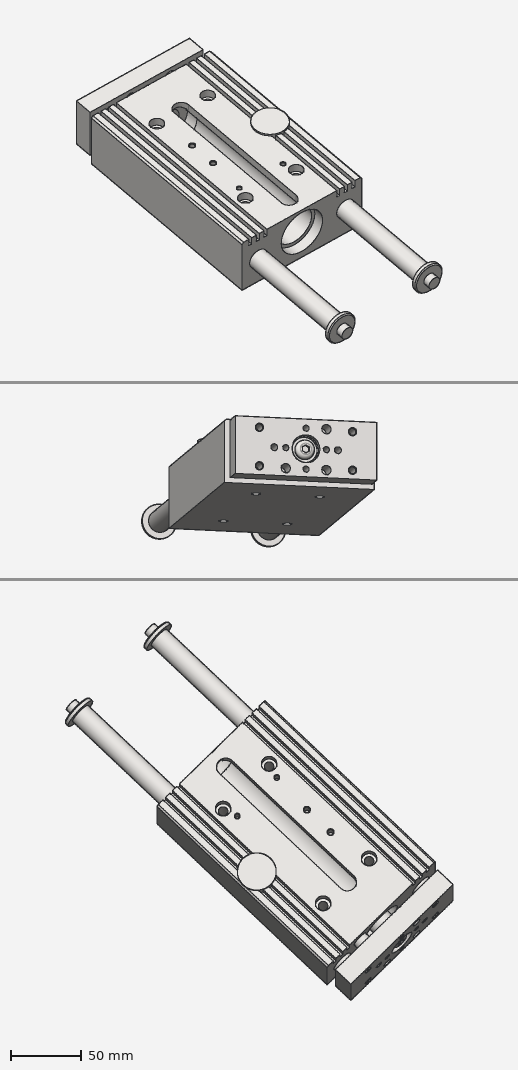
import cadquery as cq
import math

overall_length = 291.5

housing_start = 20.7
housing_length = 170.2
housing_width = 110.0
housing_height = 46.0
top_edge_chamfer = 1.5
housing_end = housing_start + housing_length
housing_mid_x = housing_start + housing_length / 2
axis_z = housing_height / 2

groove_width = 2.5
groove_depth = 6.0
groove_pitch = 7.0
groove_count = 3
inner_groove_y = 33.38

cap_diameter = 27.7
cap_height = 1.5

bore_z = 24.8
bore_diameter = 32.0
bore_start = 40.8
front_seat_diameter = 34.0
front_seat_end = 52.5
rear_seat_diameter = 38.0
rear_seat_start = 182.2
slot_start = 48.0
slot_length = 134.7
slot_width = 13.0

gland_diameter = 32.6
gland_depth = 5.8

mount_spacing_x = 100.0
mount_spacing_y = 46.5
mount_hole_diameter = 6.7
mount_counterbore_diameter = 11.0
mount_counterbore_depth = 6.7

blind_hole_depth = 8.7
blind_step_depth = 1.0
drill_tip_angle = 118.0
side_hole_diameter = 4.0
side_step_diameter = 5.0
side_hole_places = [(89.2, -18.0), (112.8, -18.0)]
end_hole_diameter = 3.5
end_step_diameter = 4.0
end_hole_places = [(145.0, 20.0), (145.0, -20.0)]

plate_thickness = 15.5
plate_width = 103.8
plate_height = 42.0
plate_bottom = 2.5

corner_hole_diameter = 5.0
corner_step_diameter = 5.8
corner_step_depth = 1.0
corner_spacing_y = 68.2
corner_spacing_z = 28.0
cross_hole_diameter = 4.5
cross_hole_offset = 15.0
outer_hole_diameter = 5.0
outer_hole_y = 23.3
dowel_hole_diameter = 6.7

recess_diameter = 20.0
recess_depth = 4.5
recess_floor_diameter = 18.5
recess_floor_depth = 5.2
head_diameter = 14.0
head_height = 4.7
head_rounding = 3.0
socket_size = 5.8
socket_depth = 2.3

rod_diameter = 16.0
rod_y = 40.0
rod_z_offset = 1.0
rod_axes = [(rod_y, axis_z + rod_z_offset), (-rod_y, axis_z - rod_z_offset)]
collar_start = 282.2
collar_thickness = 3.5
collar_diameter = 25.0
collar_chamfer = 1.0
tip_diameter = 10.0

piston_rod_diameter = 18.5
pin_diameter = 12.0
pin_y = 21.5
pin_z = 35.3
pin_end = 35.0


def x_cylinder(diameter, x_start, x_end, y, z):
    """Cylinder along X."""
    start = cq.Vector(x_start, y, z)
    solid = cq.Solid.makeCylinder(diameter / 2, x_end - x_start, start, cq.Vector(1, 0, 0))
    return cq.Workplane(solid)


def x_block(x_start, x_end, width, height, bottom):
    """Box centred on Y = 0."""
    plane = cq.Workplane("XY", origin=((x_start + x_end) / 2, 0, bottom))
    return plane.box(x_end - x_start, width, height, centered=(True, True, False))


def housing_top():
    """Workplane on the housing's top face, above the origin."""
    return cq.Workplane("XY", origin=(0, 0, housing_height))


def make_grooves():
    centers = [
        (housing_mid_x, side * (inner_groove_y + i * groove_pitch))
        for i in range(groove_count)
        for side in (1, -1)
    ]
    return housing_top().pushPoints(centers).rect(housing_length, groove_width).extrude(-groove_depth)


def make_cap():
    cap = housing_top().workplane(offset=-groove_depth).center(housing_mid_x, rod_y)
    return cap.circle(cap_diameter / 2).extrude(groove_depth + cap_height)


def make_bore():
    bore = x_cylinder(bore_diameter, bore_start, housing_end, 0, bore_z)
    front_seat = x_cylinder(front_seat_diameter, bore_start, front_seat_end, 0, bore_z)
    rear_seat = x_cylinder(rear_seat_diameter, rear_seat_start, housing_end, 0, bore_z)
    return bore.union(front_seat).union(rear_seat)


def make_front_holes():
    """Passages for the piston rod and the pin, with the recess around the rod."""
    rod_hole = x_cylinder(piston_rod_diameter, housing_start, bore_start, 0, bore_z)
    gland = x_cylinder(gland_diameter, housing_start, housing_start + gland_depth, 0, bore_z)
    pin_hole = x_cylinder(pin_diameter, housing_start, pin_end, pin_y, pin_z)
    return rod_hole.union(gland).union(pin_hole)


def make_slot():
    center_x = slot_start + slot_length / 2
    return housing_top().center(center_x, 0).slot2D(slot_length, slot_width).extrude(bore_z - housing_height)


def make_mounting_holes():
    corners = (
        housing_top()
        .center(housing_mid_x, 0)
        .rect(mount_spacing_x, mount_spacing_y, forConstruction=True)
        .vertices()
    )
    holes = corners.circle(mount_hole_diameter / 2).extrude(-housing_height)
    counterbores = corners.circle(mount_counterbore_diameter / 2).extrude(-mount_counterbore_depth)
    return holes.union(counterbores)


def make_blind_hole(place, hole_diameter, step_diameter):
    """Hole with a shallow wider mouth and a conical drill tip, turned about its own axis."""
    hole_radius = hole_diameter / 2
    step_radius = step_diameter / 2
    tip_length = hole_radius / math.tan(math.radians(drill_tip_angle / 2))
    return (
        cq.Workplane("XZ", origin=(*place, housing_height))
        .polyline([
            (0, 0),
            (step_radius, 0),
            (step_radius, -blind_step_depth),
            (hole_radius, -blind_step_depth),
            (hole_radius, -blind_hole_depth),
            (0, -blind_hole_depth - tip_length),
        ])
        .close()
        .revolve(360, (0, 0), (0, 1))
    )


def make_housing():
    body = x_block(housing_start, housing_end, housing_width, housing_height, 0)
    body = body.faces(">Z").edges("|X").chamfer(top_edge_chamfer)
    body = body.cut(make_grooves()).union(make_cap())
    body = body.cut(make_bore()).cut(make_slot()).cut(make_mounting_holes())
    for place in side_hole_places:
        body = body.cut(make_blind_hole(place, side_hole_diameter, side_step_diameter))
    for place in end_hole_places:
        body = body.cut(make_blind_hole(place, end_hole_diameter, end_step_diameter))
    for y, z in rod_axes:
        body = body.cut(x_cylinder(rod_diameter, housing_start, housing_end, y, z))
    return body.cut(make_front_holes())


def plate_face(depth=0):
    """Workplane parallel to the tool plate's outer face, with local axes Y and Z."""
    return cq.Workplane("YZ", origin=(depth, 0, axis_z))


def make_plate():
    plate = x_block(0, plate_thickness, plate_width, plate_height, plate_bottom)

    corners = plate_face().rect(corner_spacing_y, corner_spacing_z, forConstruction=True).vertices()
    plate = plate.cut(corners.circle(corner_hole_diameter / 2).extrude(plate_thickness))
    plate = plate.cut(corners.circle(corner_step_diameter / 2).extrude(corner_step_depth))

    d = cross_hole_offset
    hole_groups = [
        (cross_hole_diameter, [(d, 0), (-d, 0), (0, d), (0, -d)]),
        (outer_hole_diameter, [(outer_hole_y, 0), (-outer_hole_y, 0)]),
        (dowel_hole_diameter, [(-d, d), (-d, -d), (d, -d)]),
    ]
    for diameter, places in hole_groups:
        plate = plate.cut(plate_face().pushPoints(places).circle(diameter / 2).extrude(plate_thickness))

    plate = plate.cut(plate_face().circle(recess_diameter / 2).extrude(recess_depth))
    return plate.cut(plate_face().circle(recess_floor_diameter / 2).extrude(recess_floor_depth))


def make_screw_head():
    """Rounded head with a hexagonal socket, standing on the recess floor."""
    head_top = recess_floor_depth - head_height
    head = plate_face(head_top).circle(head_diameter / 2).extrude(head_height)
    head = head.faces("<X").edges().fillet(head_rounding)
    socket = plate_face(head_top).transformed(rotate=(0, 0, 90)).polygon(6, socket_size).extrude(socket_depth)
    return head.cut(socket)


def make_guide_rod(y, z):
    rod = x_cylinder(rod_diameter, plate_thickness, collar_start, y, z)
    collar = x_cylinder(collar_diameter, collar_start, collar_start + collar_thickness, y, z)
    collar = collar.faces(">X").edges().chamfer(collar_chamfer)
    tip = x_cylinder(tip_diameter, collar_start, overall_length, y, z)
    return rod.union(collar).union(tip)


def make_carriage():
    body = make_plate().union(make_screw_head())
    for y, z in rod_axes:
        body = body.union(make_guide_rod(y, z))
    body = body.union(x_cylinder(piston_rod_diameter, plate_thickness, bore_start, 0, bore_z))
    return body.union(x_cylinder(pin_diameter, plate_thickness, pin_end, pin_y, pin_z))


housing = make_housing()
carriage = make_carriage()
result = cq.Compound.makeCompound([housing.solids().val(), carriage.solids().val()])